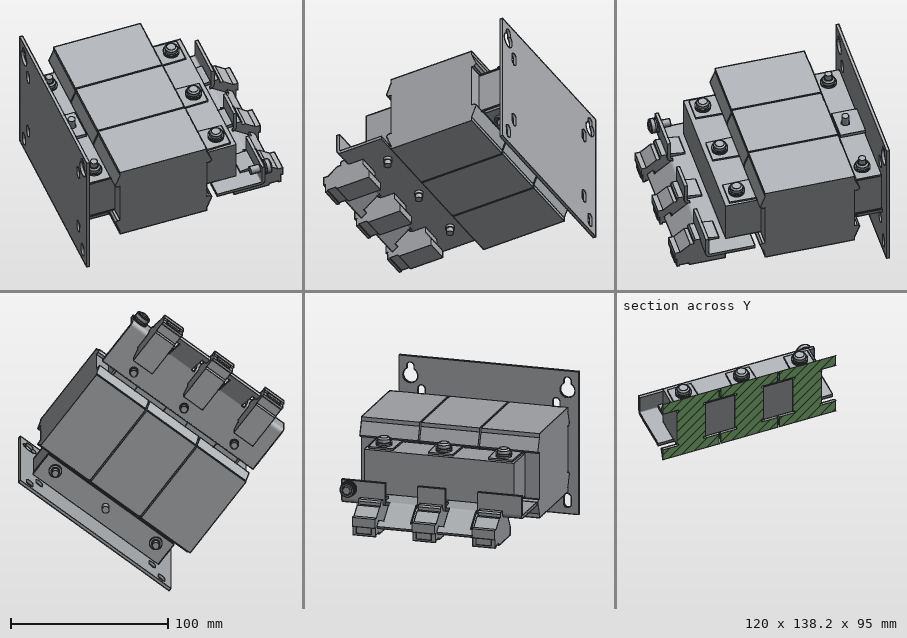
import cadquery as cq
import math


PLATE_WIDTH = 120.0
PLATE_HEIGHT = 95.0
PLATE_THICKNESS = 2.0
SLOT_WIDTH = 5.0
OUTER_SLOT_X = 52.5
OUTER_SLOT_LENGTH = 9.5
OUTER_SLOT_Z = 38.75
KEYHOLE_DIAMETER = 10.0
KEYHOLE_Z = 34.75
INNER_SLOT_X = 45.0
INNER_SLOT_LENGTH = 9.0
INNER_SLOT_Z = 24.5

PHASE_PITCH = 40.0
PHASE_X = [-PHASE_PITCH, 0.0, PHASE_PITCH]
MID_Z = 2.0
LEG_WIDTH = 20.0
CORE_WIDTH = 2 * PHASE_PITCH + LEG_WIDTH
CORE_HEIGHT = 28.6
CORE_FRONT_Y = 2.6
WINDOW_FRONT_Y = 22.7
WINDOW_REAR_Y = 82.7
CORE_REAR_Y = 105.5

SHEET_THICKNESS = 1.1
SHEET_INSET = 0.2
SHEET_OFFSET = CORE_HEIGHT / 2 + SHEET_THICKNESS
TAB_END_Y = 102.4
TAB_END_WIDTH = 16.2
TAB_ROOT_WIDTH = 17.4

COIL_WIDTH = 39.0
COIL_HALF_HEIGHT = 28.1
COIL_FRONT_Y = 22.9
COIL_REAR_Y = 82.0
LIP_REACH = 3.4
LIP_FLAT = 1.8
LIP_TIP_OFFSET = 16.8
LIP_ROOT_OFFSET = 25.4

BRACKET_THICKNESS = 2.1
MOUNT_BRACKET_REAR_Y = 18.6
UPPER_BRACKET_WIDTH = 20.6
STUD_HOLE_DIAMETER = 5.4
RAIL_FRONT_Y = 88.8
RAIL_NOTCH_Y = 118.1
RAIL_REAR_Y = 121.4
RAIL_TOP_Z = -0.1
RAIL_INNER_BEND_RADIUS = 0.9
RAIL_OUTER_BEND_RADIUS = RAIL_INNER_BEND_RADIUS + BRACKET_THICKNESS
RAIL_GAPS = [(-30.9, -9.2), (9.2, 30.9)]

ARM_X = PHASE_PITCH / 2
ARM_WIDTH = 17.8
ARM_HEAD_WIDTH = 24.6
ARM_END_Y = 134.4
ARM_HEAD_Y = 130.6
ARM_BEND_Y = 120.2

TERMINAL_WIDTH = 15.0
TERMINAL_REAR_Y = 138.2
TERMINAL_SHOULDER_Y = 134.9
TERMINAL_TOP_REAR_Y = 128.1
TERMINAL_SHOULDER_Z = -19.2
TERMINAL_LEDGE_Z = -14.0
TERMINAL_RIDGE_REAR_Y = 125.8
TERMINAL_RIDGE_BEVEL_Y = 124.8
TERMINAL_RIDGE_BEVEL_Z = -12.0
TERMINAL_RIDGE_FRONT_Y = 118.1
TERMINAL_RIDGE_Z = -10.9
TERMINAL_NOSE_Y = 109.2
TERMINAL_NOSE_TOP_Z = -12.2
TERMINAL_NOSE_BOTTOM_Z = -19.6
TERMINAL_FRONT_Y = 105.0
TERMINAL_FRONT_TOP_Z = -26.2
TERMINAL_BOTTOM_Z = -31.7
TERMINAL_BOTTOM_REAR_Y = 128.5
RECESS_FRONT_Y = 129.4
RECESS_REAR_Y = 135.2
RECESS_Z = -30.3
LATCH_WIDTH = 10.0
LATCH_ROOT_Y = 136.9
LATCH_REAR_Y = 137.8
LATCH_TOP_Z = -25.2
LATCH_BOTTOM_Z = -29.7
LATCH_FOOT_Z = -31.2
TERMINAL_SLOPE = math.atan2(TERMINAL_LEDGE_Z - TERMINAL_SHOULDER_Z,
                            TERMINAL_SHOULDER_Y - TERMINAL_TOP_REAR_Y)

FRONT_STUD_Y = 12.5
REAR_BOLT_Y = 95.5
STUD_RADIUS = 2.25
STUD_TOP_Z = 25.4
STUD_BOTTOM_Z = -21.9
BOLT_BOTTOM_Z = -20.9
WASHER_RADIUS = 5.1
WASHER_INSET = 0.1
WASHER_THICKNESS = 1.05
HEAD_RADIUS = 4.05
HEAD_HEIGHT = 2.1
HEAD_TAPER_HEIGHT = 1.05
HEAD_TOP_RADIUS = 2.9
LOWER_FLANGE_THICKNESS = 1.6
LOWER_NUT_RADIUS = 2.75
LOWER_NUT_HEIGHT = 2.1
GROUND_SCREW_X = 55.0
GROUND_SCREW_Z = -5.5
GROUND_SHAFT_RADIUS = 2.55
GROUND_SHAFT_LENGTH = 8.3
GROUND_WASHER_RADIUS = 5.0
GROUND_SPACER_RADIUS = 4.3
GROUND_HEAD_RADIUS = 4.7
GROUND_RIM_RADIUS = 4.3
GROUND_CAP_BASE_RADIUS = 3.2
GROUND_CAP_TOP_RADIUS = 2.5
GROUND_WASHER_LEVEL = 0.8
GROUND_SPACER_LEVEL = 1.9
GROUND_RIM_LEVEL = 4.5
GROUND_HEAD_LEVEL = 4.9
GROUND_CAP_LEVEL = 5.7


def box(x_range, y_range, z_range):
    """Box between the given limits."""
    size = [high - low for low, high in (x_range, y_range, z_range)]
    corner = (x_range[0], y_range[0], z_range[0])
    return cq.Workplane("XY").box(*size, centered=False).translate(corner)


def centred_box(width, y_range, z_range):
    """Box centred on X = 0."""
    return box((-width / 2, width / 2), y_range, z_range)


def extrude_along_x(points, x_middle, width):
    """Extrude a closed (y, z) outline symmetrically about x_middle."""
    outline = cq.Workplane("YZ").polyline(points).close()
    return outline.extrude(width / 2, both=True).translate((x_middle, 0, 0))


def turned(profile):
    """Revolve a (radius, height) outline, which starts and ends on the axis, about Z."""
    return cq.Workplane("XZ").polyline(profile).close().revolve(360, (0, 0), (0, 1))


def cylinder(radius, z_low, z_high):
    """Upright cylinder on the Z axis."""
    return cq.Workplane("XY").circle(radius).extrude(z_high - z_low).translate((0, 0, z_low))


def mounting_plate():
    plate = centred_box(PLATE_WIDTH, (0, PLATE_THICKNESS), (-PLATE_HEIGHT / 2, PLATE_HEIGHT / 2))

    def slots(x, z_list, length):
        points = [(side * x, z) for side in (-1, 1) for z in z_list]
        sketch = cq.Workplane("XZ").pushPoints(points)
        return sketch.slot2D(length, SLOT_WIDTH, 90).extrude(-PLATE_THICKNESS)

    keyhole_points = [(-OUTER_SLOT_X, KEYHOLE_Z), (OUTER_SLOT_X, KEYHOLE_Z)]
    keyholes = cq.Workplane("XZ").pushPoints(keyhole_points)
    keyholes = keyholes.circle(KEYHOLE_DIAMETER / 2).extrude(-PLATE_THICKNESS)
    plate = plate.cut(slots(OUTER_SLOT_X, (-OUTER_SLOT_Z, OUTER_SLOT_Z), OUTER_SLOT_LENGTH))
    plate = plate.cut(slots(INNER_SLOT_X, (-INNER_SLOT_Z, INNER_SLOT_Z), INNER_SLOT_LENGTH))
    return plate.cut(keyholes)


def core():
    z_range = (MID_Z - CORE_HEIGHT / 2, MID_Z + CORE_HEIGHT / 2)
    body = centred_box(CORE_WIDTH, (CORE_FRONT_Y, WINDOW_FRONT_Y), z_range)
    body = body.union(centred_box(CORE_WIDTH, (WINDOW_REAR_Y, CORE_REAR_Y), z_range))
    for x in PHASE_X:
        leg = centred_box(LEG_WIDTH, (WINDOW_FRONT_Y, WINDOW_REAR_Y), z_range)
        body = body.union(leg.translate((x, 0, 0)))
    return body


def insulation():
    """Wide sheets over the front yoke and tapered tabs over the rear yoke."""
    z_range = (MID_Z - SHEET_OFFSET, MID_Z + SHEET_OFFSET)
    sheets = centred_box(CORE_WIDTH - 2 * SHEET_INSET, (CORE_FRONT_Y, COIL_FRONT_Y), z_range)
    tab_outline = [
        (-TAB_ROOT_WIDTH / 2, COIL_REAR_Y),
        (TAB_ROOT_WIDTH / 2, COIL_REAR_Y),
        (TAB_END_WIDTH / 2, TAB_END_Y),
        (-TAB_END_WIDTH / 2, TAB_END_Y),
    ]
    tab = cq.Workplane("XY").polyline(tab_outline).close().extrude(SHEET_OFFSET, both=True)
    for x in PHASE_X:
        sheets = sheets.union(tab.translate((x, 0, MID_Z)))
    return sheets


def coil(x):
    """Coil block with a pointed lip above and below the core at each end."""
    quarter = [
        (0, SHEET_OFFSET),
        (LIP_FLAT, SHEET_OFFSET),
        (LIP_REACH, LIP_TIP_OFFSET),
        (0, LIP_ROOT_OFFSET),
        (0, COIL_HALF_HEIGHT),
    ]
    rear_top = [(COIL_REAR_Y + reach, MID_Z + height) for reach, height in quarter]
    front_top = [(COIL_FRONT_Y - reach, MID_Z + height) for reach, height in reversed(quarter)]
    front_bottom = [(COIL_FRONT_Y - reach, MID_Z - height) for reach, height in quarter]
    rear_bottom = [(COIL_REAR_Y + reach, MID_Z - height) for reach, height in reversed(quarter)]
    return extrude_along_x(rear_top + front_top + front_bottom + rear_bottom, x, COIL_WIDTH)


def mounting_brackets():
    """Sheets that join the core to the plate, above and below the front yoke."""
    y_range = (PLATE_THICKNESS, MOUNT_BRACKET_REAR_Y)
    top = MID_Z + SHEET_OFFSET
    bottom = MID_Z - SHEET_OFFSET
    upper = centred_box(UPPER_BRACKET_WIDTH, y_range, (top, top + BRACKET_THICKNESS))
    hole = cylinder(STUD_HOLE_DIAMETER / 2, top, top + BRACKET_THICKNESS)
    upper = upper.cut(hole.translate((0, FRONT_STUD_Y, 0)))
    lower = centred_box(CORE_WIDTH, y_range, (bottom - BRACKET_THICKNESS, bottom))
    return upper.union(lower)


def terminal_rail():
    """Bent sheet under the rear yoke, with an upright broken by two gaps."""
    top = MID_Z - SHEET_OFFSET
    bottom = top - BRACKET_THICKNESS
    upright_front_y = RAIL_REAR_Y - BRACKET_THICKNESS
    flat = centred_box(PLATE_WIDTH, (RAIL_FRONT_Y, RAIL_REAR_Y), (bottom, top))
    upright = centred_box(PLATE_WIDTH, (upright_front_y, RAIL_REAR_Y), (bottom, RAIL_TOP_Z))
    rail = flat.union(upright)
    rail = rail.edges("|X and >Y and <Z").fillet(RAIL_OUTER_BEND_RADIUS)
    inner_corner = cq.selectors.NearestToPointSelector((0, upright_front_y, top))
    rail = rail.edges(inner_corner).fillet(RAIL_INNER_BEND_RADIUS)
    for gap in RAIL_GAPS:
        rail = rail.cut(box(gap, (RAIL_NOTCH_Y, RAIL_REAR_Y), (bottom, RAIL_TOP_Z)))
    return rail


def rail_arm(x):
    """T-shaped arm that leaves the rail through a bend and slopes down to the rear."""
    top = MID_Z - SHEET_OFFSET
    outer_radius = (ARM_BEND_Y - RAIL_NOTCH_Y) / math.sin(TERMINAL_SLOPE)
    inner_radius = outer_radius - BRACKET_THICKNESS
    centre_z = top - outer_radius

    def on_bend(radius, angle):
        """Point on the bend, at an angle measured from its level start."""
        return (RAIL_NOTCH_Y + radius * math.sin(angle), centre_z + radius * math.cos(angle))

    def on_slope(y):
        """Point on the upper face of the slope."""
        bend_end_z = on_bend(outer_radius, TERMINAL_SLOPE)[1]
        return (y, bend_end_z - (y - ARM_BEND_Y) * math.tan(TERMINAL_SLOPE))

    def below(point):
        """Point on the lower face, straight through the sheet from a point on the slope."""
        run = BRACKET_THICKNESS * math.sin(TERMINAL_SLOPE)
        rise = BRACKET_THICKNESS * math.cos(TERMINAL_SLOPE)
        return (point[0] - run, point[1] - rise)

    arm_end = on_slope(ARM_END_Y)
    head_start = on_slope(ARM_HEAD_Y)
    half_slope = TERMINAL_SLOPE / 2
    stem = cq.Workplane("YZ").moveTo(*on_bend(outer_radius, 0))
    stem = stem.threePointArc(on_bend(outer_radius, half_slope), on_bend(outer_radius, TERMINAL_SLOPE))
    stem = stem.lineTo(*arm_end).lineTo(*below(arm_end)).lineTo(*on_bend(inner_radius, TERMINAL_SLOPE))
    stem = stem.threePointArc(on_bend(inner_radius, half_slope), on_bend(inner_radius, 0)).close()
    stem = stem.extrude(ARM_WIDTH / 2, both=True).translate((x, 0, 0))
    head_outline = [head_start, arm_end, below(arm_end), below(head_start)]
    return stem.union(extrude_along_x(head_outline, x, ARM_HEAD_WIDTH))


def terminal(x):
    """Terminal block of constant section with a narrower latch at its rear."""
    outline = [
        (TERMINAL_REAR_Y, TERMINAL_SHOULDER_Z),
        (TERMINAL_SHOULDER_Y, TERMINAL_SHOULDER_Z),
        (TERMINAL_TOP_REAR_Y, TERMINAL_LEDGE_Z),
        (TERMINAL_RIDGE_REAR_Y, TERMINAL_LEDGE_Z),
        (TERMINAL_RIDGE_REAR_Y, TERMINAL_RIDGE_BEVEL_Z),
        (TERMINAL_RIDGE_BEVEL_Y, TERMINAL_RIDGE_Z),
        (TERMINAL_RIDGE_FRONT_Y, TERMINAL_RIDGE_Z),
        (TERMINAL_NOSE_Y, TERMINAL_NOSE_TOP_Z),
        (TERMINAL_NOSE_Y, TERMINAL_NOSE_BOTTOM_Z),
        (TERMINAL_FRONT_Y, TERMINAL_FRONT_TOP_Z),
        (TERMINAL_FRONT_Y, TERMINAL_BOTTOM_Z),
        (TERMINAL_BOTTOM_REAR_Y, TERMINAL_BOTTOM_Z),
        (RECESS_FRONT_Y, RECESS_Z),
        (RECESS_REAR_Y, RECESS_Z),
        (RECESS_REAR_Y, LATCH_FOOT_Z),
        (LATCH_ROOT_Y, LATCH_FOOT_Z),
        (LATCH_ROOT_Y, LATCH_TOP_Z),
        (TERMINAL_REAR_Y, LATCH_TOP_Z),
    ]
    latch = centred_box(LATCH_WIDTH, (LATCH_ROOT_Y, LATCH_REAR_Y), (LATCH_BOTTOM_Z, LATCH_TOP_Z))
    return extrude_along_x(outline, x, TERMINAL_WIDTH).union(latch.translate((x, 0, 0)))


def chamfered_head(base_z):
    """(radius, height) points of a head or nut that stands on base_z, from its foot up."""
    shoulder_z = base_z + HEAD_HEIGHT
    return [
        (HEAD_RADIUS, base_z),
        (HEAD_RADIUS, shoulder_z),
        (HEAD_TOP_RADIUS, shoulder_z + HEAD_TAPER_HEIGHT),
    ]


def rear_bolt(x):
    """Bolt through the rear yoke: two washers and a head on top, a nut under the rail."""
    seat_z = MID_Z + SHEET_OFFSET
    washer_z = seat_z + WASHER_THICKNESS
    head_z = washer_z + WASHER_THICKNESS
    nut_z = MID_Z - SHEET_OFFSET - BRACKET_THICKNESS - LOWER_NUT_HEIGHT
    profile = [
        (0, BOLT_BOTTOM_Z),
        (STUD_RADIUS, BOLT_BOTTOM_Z),
        (STUD_RADIUS, nut_z),
        (LOWER_NUT_RADIUS, nut_z),
        (LOWER_NUT_RADIUS, seat_z),
        (WASHER_RADIUS - WASHER_INSET, seat_z),
        (WASHER_RADIUS - WASHER_INSET, washer_z),
        (WASHER_RADIUS, washer_z),
        (WASHER_RADIUS, head_z),
        *chamfered_head(head_z),
        (0, head_z + HEAD_HEIGHT + HEAD_TAPER_HEIGHT),
    ]
    return turned(profile).translate((x, REAR_BOLT_Y, 0))


def front_stud(x):
    """Stud through the front yoke: a washer and nut on top, a flanged nut underneath."""
    seat_z = MID_Z + SHEET_OFFSET
    nut_z = seat_z + WASHER_THICKNESS
    nut_top_z = nut_z + HEAD_HEIGHT + HEAD_TAPER_HEIGHT
    under_z = MID_Z - SHEET_OFFSET - BRACKET_THICKNESS
    profile = [
        (0, STUD_BOTTOM_Z),
        (STUD_RADIUS, STUD_BOTTOM_Z),
        (STUD_RADIUS, under_z - LOWER_NUT_HEIGHT),
        (LOWER_NUT_RADIUS, under_z - LOWER_NUT_HEIGHT),
        (LOWER_NUT_RADIUS, under_z - LOWER_FLANGE_THICKNESS),
        (HEAD_RADIUS, under_z - LOWER_FLANGE_THICKNESS),
        (HEAD_RADIUS, seat_z),
        (WASHER_RADIUS, seat_z),
        (WASHER_RADIUS, nut_z),
        *chamfered_head(nut_z),
        (STUD_RADIUS, nut_top_z),
        (STUD_RADIUS, STUD_TOP_Z),
        (0, STUD_TOP_Z),
    ]
    return turned(profile).translate((x, FRONT_STUD_Y, 0))


def ground_screw():
    """Screw through the upright, its head to the rear."""
    shaft_end = -GROUND_SHAFT_LENGTH
    profile = [
        (0, shaft_end),
        (GROUND_SHAFT_RADIUS, shaft_end),
        (GROUND_SHAFT_RADIUS, 0),
        (GROUND_WASHER_RADIUS, 0),
        (GROUND_WASHER_RADIUS, GROUND_WASHER_LEVEL),
        (GROUND_SPACER_RADIUS, GROUND_WASHER_LEVEL),
        (GROUND_SPACER_RADIUS, GROUND_SPACER_LEVEL),
        (GROUND_HEAD_RADIUS, GROUND_SPACER_LEVEL),
        (GROUND_HEAD_RADIUS, GROUND_RIM_LEVEL),
        (GROUND_RIM_RADIUS, GROUND_HEAD_LEVEL),
        (GROUND_CAP_BASE_RADIUS, GROUND_HEAD_LEVEL),
        (GROUND_CAP_TOP_RADIUS, GROUND_CAP_LEVEL),
        (0, GROUND_CAP_LEVEL),
    ]
    screw = turned(profile).rotate((0, 0, 0), (1, 0, 0), -90)
    return screw.translate((GROUND_SCREW_X, RAIL_REAR_Y, GROUND_SCREW_Z))


result = mounting_plate()
middle_stud = cylinder(STUD_RADIUS, STUD_BOTTOM_Z, STUD_TOP_Z).translate((0, FRONT_STUD_Y, 0))
result = result.union(middle_stud)
for part in (core(), insulation(), mounting_brackets(), terminal_rail(), ground_screw()):
    result = result.union(part)
for phase_x in PHASE_X:
    result = result.union(coil(phase_x)).union(terminal(phase_x)).union(rear_bolt(phase_x))
for side in (-1, 1):
    result = result.union(rail_arm(side * ARM_X)).union(front_stud(side * PHASE_PITCH))